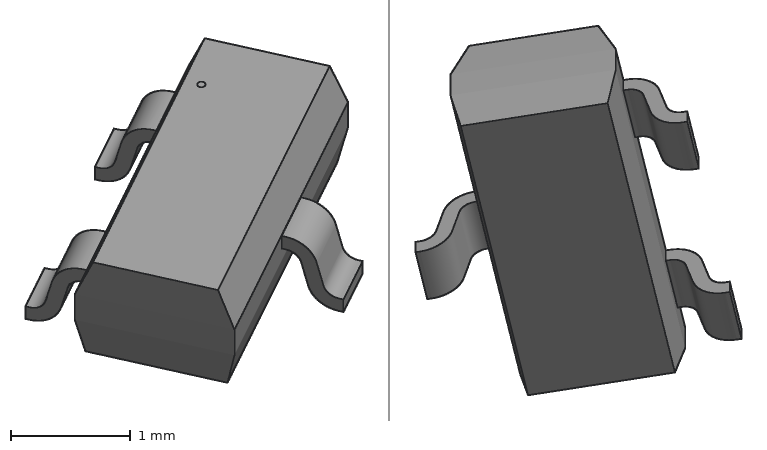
import cadquery as cq
import math

body_length = 3.0
body_width = 1.405
top_length = 2.952
top_width = 1.098
bottom_length = 2.905
bottom_width = 1.248
bottom_z = 0.05
band_bottom_z = 0.423
band_top_z = 0.708
top_z = 1.09

lead_span = 2.49
lead_width = 0.507
lead_thickness = 0.14
lead_top_z = 0.7
inner_bend_radius = 0.14
bend_angle = 76.0
foot_flat = 0.04
lead_offset_y = 0.918

mark_diameter = 0.07
mark_depth = 0.015
mark_x = -0.393
mark_y = lead_offset_y


def make_taper(start_z, end_z, end_width, end_length):
    """Frustum from the band outline at start_z to a smaller rectangle at end_z."""
    return (
        cq.Workplane("XY", origin=(0, 0, start_z))
        .rect(body_width, body_length)
        .workplane(offset=end_z - start_z)
        .rect(end_width, end_length)
        .loft(ruled=True)
    )


def make_mark():
    return (
        cq.Workplane("XY", origin=(mark_x, mark_y, top_z - mark_depth))
        .circle(mark_diameter / 2)
        .extrude(mark_depth)
    )


def make_housing():
    band = (
        cq.Workplane("XY", origin=(0, 0, band_bottom_z))
        .rect(body_width, body_length)
        .extrude(band_top_z - band_bottom_z)
    )
    upper = make_taper(band_top_z, top_z, top_width, top_length)
    lower = make_taper(band_bottom_z, bottom_z, bottom_width, bottom_length)
    return band.union(upper).union(lower).cut(make_mark())


def arc_point(center, radius, degrees):
    """Point on a circle in the XZ plane, with 0 degrees along +X and 90 along +Z."""
    angle = math.radians(degrees)
    return (center[0] + radius * math.cos(angle), center[1] + radius * math.sin(angle))


def make_lead(center_y, turn):
    """Lead leaving the -X face of the housing, then turned about Z by turn degrees."""
    outer_bend_radius = inner_bend_radius + lead_thickness
    middle_radius = inner_bend_radius + lead_thickness / 2
    tip_x = -lead_span / 2
    face_x = -body_width / 2

    angle = math.radians(bend_angle)
    middle_rise = lead_top_z - lead_thickness
    leg_rise = middle_rise - 2 * middle_radius * (1 - math.cos(angle))
    leg_run = leg_rise / math.tan(angle)
    bends_run = 2 * middle_radius * math.sin(angle) + leg_run

    foot_center = (tip_x + foot_flat, outer_bend_radius)
    shoulder_center = (foot_center[0] + bends_run, lead_top_z - outer_bend_radius)

    foot_start, foot_middle, foot_end = -90, -90 + bend_angle / 2, -90 + bend_angle
    shoulder_start, shoulder_middle, shoulder_end = 90 + bend_angle, 90 + bend_angle / 2, 90

    profile = (
        cq.Workplane("XZ", origin=(0, lead_width / 2, 0))
        .moveTo(tip_x, 0)
        .lineTo(*arc_point(foot_center, outer_bend_radius, foot_start))
        .threePointArc(
            arc_point(foot_center, outer_bend_radius, foot_middle),
            arc_point(foot_center, outer_bend_radius, foot_end),
        )
        .lineTo(*arc_point(shoulder_center, inner_bend_radius, shoulder_start))
        .threePointArc(
            arc_point(shoulder_center, inner_bend_radius, shoulder_middle),
            arc_point(shoulder_center, inner_bend_radius, shoulder_end),
        )
        .lineTo(face_x, lead_top_z - lead_thickness)
        .lineTo(face_x, lead_top_z)
        .lineTo(*arc_point(shoulder_center, outer_bend_radius, shoulder_end))
        .threePointArc(
            arc_point(shoulder_center, outer_bend_radius, shoulder_middle),
            arc_point(shoulder_center, outer_bend_radius, shoulder_start),
        )
        .lineTo(*arc_point(foot_center, inner_bend_radius, foot_end))
        .threePointArc(
            arc_point(foot_center, inner_bend_radius, foot_middle),
            arc_point(foot_center, inner_bend_radius, foot_start),
        )
        .lineTo(tip_x, lead_thickness)
        .close()
    )
    lead = profile.extrude(lead_width)
    return lead.rotate((0, 0, 0), (0, 0, 1), turn).translate((0, center_y, 0))


housing = make_housing()
mark = make_mark()

lead_places = [(-lead_offset_y, 0), (lead_offset_y, 0), (0, 180)]
leads = [make_lead(center_y, turn) for center_y, turn in lead_places]

result = cq.Compound.makeCompound([housing.val(), mark.val(), *[lead.val() for lead in leads]])